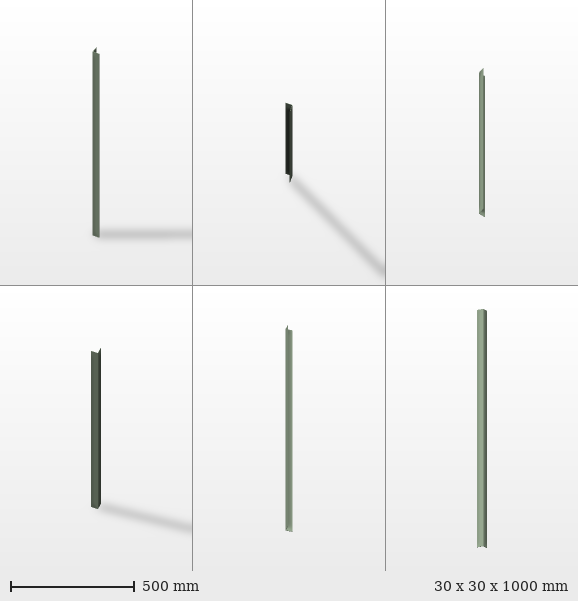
import cadquery as cq

LEG_WIDTH = 30.0
WALL_THICKNESS = 1.5
LENGTH = 1000.0
CORNER_CHAMFER = 0.5

section = [
    (0, 0),
    (LEG_WIDTH, 0),
    (LEG_WIDTH, WALL_THICKNESS),
    (WALL_THICKNESS, WALL_THICKNESS),
    (WALL_THICKNESS, LEG_WIDTH),
    (0, LEG_WIDTH),
]
angle = cq.Workplane("XY").polyline(section).close().extrude(LENGTH)

corner_midpoint = (0, 0, LENGTH / 2)
corner_edge = cq.selectors.NearestToPointSelector(corner_midpoint)
result = angle.edges("|Z").edges(corner_edge).chamfer(CORNER_CHAMFER)